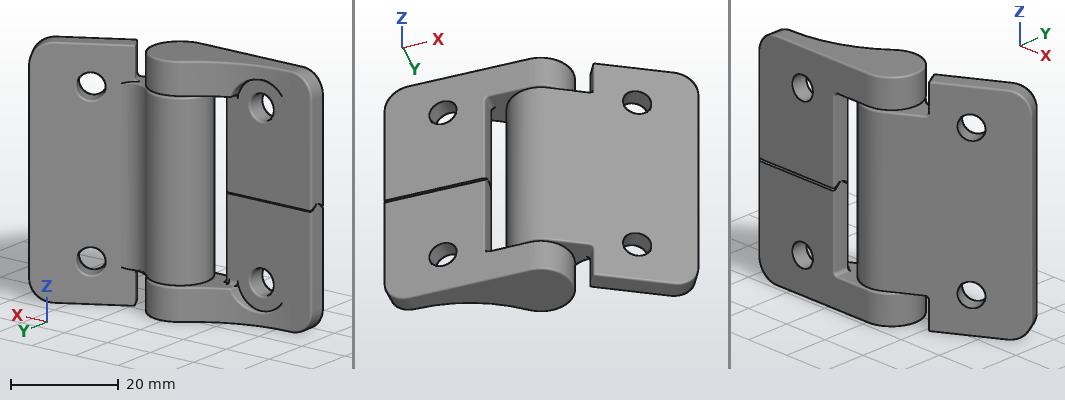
import cadquery as cq
import math

height = 50.8
leaf_length = 28.6
leaf_thickness = 3.9
barrel_diameter = 12.75
barrel_radius = barrel_diameter / 2
corner_radius = 4.75
inner_corner_radius = 0.8
edge_radius = 0.4
relief_edge = 8.75
opening_angle = 30.0
front_face = -barrel_radius
back_face = front_face + leaf_thickness
mid_plane = (front_face + back_face) / 2

hole_diameter = 5.35
hole_offset = 17.0
hole_height = 17.0
clearance_diameter = 11.05

window_height = 37.1
fixed_blend_radius = 29.7

slit_tip_height = 0.0
slit_mouth_top = -0.9
slit_web = 0.75
front_slit_mouth = 0.5
back_slit_mouth = 0.2

barrel_length = 36.55
swing_blend_radius = 5.2

overshoot = 0.55



def block(x_min, x_max, y_min, y_max, z_min, z_max):
    size = (x_max - x_min, y_max - y_min, z_max - z_min)
    return cq.Workplane("XY").box(*size, centered=False).translate((x_min, y_min, z_min))


def plate(x_min, x_max, plate_height):
    """Plain rectangle of leaf thickness, centred on mid height."""
    return block(x_min, x_max, front_face, back_face, -plate_height / 2, plate_height / 2)


def hole_cylinders(diameter):
    """Cylinders along Y through both mounting hole positions, longer than any leaf is deep."""
    back_plane = cq.Workplane("XZ", origin=(0, barrel_diameter, 0))
    centers = [(hole_offset, -hole_height), (hole_offset, hole_height)]
    return back_plane.pushPoints(centers).circle(diameter / 2).extrude(2 * barrel_diameter)


def finish_plate(leaf):
    """Round the outer corners and exposed edges of a flat leaf and drill its mounting holes."""
    leaf = leaf.edges("|Y and >X").fillet(corner_radius)
    leaf = leaf.faces("<Y or >Y").edges("not <X").fillet(edge_radius)
    leaf = leaf.cut(hole_cylinders(hole_diameter))
    return leaf.faces(">Y").edges("%CIRCLE").fillet(edge_radius)


def barrel_segment(blend_radius, bottom, top):
    """Barrel on the hinge axis with a flat front and a concave blend down to the back face."""
    blend_y = back_face + blend_radius
    blend_x = math.sqrt((barrel_radius + blend_radius) ** 2 - blend_y ** 2)
    tangent_angle = math.atan2(blend_y, blend_x)
    half_sweep = (math.pi / 2 - tangent_angle) / 2
    tangent_point = (barrel_radius * math.cos(tangent_angle), barrel_radius * math.sin(tangent_angle))
    blend_middle = (
        blend_x - blend_radius * math.sin(half_sweep),
        blend_y - blend_radius * math.cos(half_sweep),
    )
    return (
        cq.Workplane("XY", origin=(0, 0, bottom))
        .moveTo(0, front_face)
        .lineTo(blend_x, front_face)
        .lineTo(blend_x, back_face)
        .threePointArc(blend_middle, tangent_point)
        .threePointArc((-barrel_radius, 0), (0, front_face))
        .close()
        .extrude(top - bottom)
    )


def fixed_plate():
    """U-shaped flat part of the fixed leaf, with the window open towards the hinge axis."""
    window = block(
        -overshoot, relief_edge,
        front_face - overshoot, back_face + overshoot,
        -window_height / 2, window_height / 2,
    )
    window = window.edges("|Y and >X").fillet(inner_corner_radius)
    return finish_plate(plate(0, leaf_length, height).cut(window))


def knuckle_arm():
    """Upper knuckle with its arm, bitten out around the mounting hole."""
    arm = barrel_segment(fixed_blend_radius, window_height / 2, height / 2)
    arm = arm.cut(hole_cylinders(clearance_diameter))
    end_edges = arm.faces("<Z or >Z").edges("not >X")
    bite_edge = arm.edges("%BSPLINE")
    return end_edges.add(bite_edge).fillet(edge_radius)


def arm_root():
    """Concave strip between the upper arm and the back face, beside the window."""
    arm_side = window_height / 2
    strip = block(
        relief_edge + inner_corner_radius, hole_offset,
        back_face, back_face + inner_corner_radius,
        arm_side - inner_corner_radius, arm_side,
    )
    hollow = (
        cq.Workplane("YZ")
        .center(back_face + inner_corner_radius, arm_side - inner_corner_radius)
        .circle(inner_corner_radius)
        .extrude(leaf_length)
    )
    return strip.cut(hollow).cut(hole_cylinders(clearance_diameter))


def slit(face, tip, mouth):
    """Wedge along X that narrows from its mouth at a face to its tip beside the web."""
    return (
        cq.Workplane("YZ", origin=(relief_edge - overshoot, 0, 0))
        .moveTo(face, slit_mouth_top)
        .lineTo(tip, slit_tip_height)
        .lineTo(face, slit_mouth_top - mouth)
        .close()
        .extrude(leaf_length)
    )


def make_fixed_leaf():
    leaf = fixed_plate()
    upper_arm = knuckle_arm()
    upper_root = arm_root()
    for feature in (upper_arm, upper_root):
        leaf = leaf.union(feature).union(feature.mirror("XY"))
    leaf = leaf.cut(slit(front_face, mid_plane - slit_web / 2, front_slit_mouth))
    leaf = leaf.cut(slit(back_face, mid_plane + slit_web / 2, back_slit_mouth))
    return leaf.mirror("YZ")


def swing_plate():
    """T-shaped flat part of the swing leaf: a full-height wing and a tongue into the barrel."""
    wing = plate(relief_edge, leaf_length, height).edges("|Y and <X").fillet(edge_radius)
    tongue = plate(0, leaf_length / 2, barrel_length)
    leaf = wing.union(tongue)
    notch_corners = cq.selectors.BoxSelector(
        (relief_edge - overshoot, front_face, -barrel_length / 2 - overshoot),
        (relief_edge + overshoot, back_face, barrel_length / 2 + overshoot),
    )
    leaf = leaf.edges("|Y").edges(notch_corners).fillet(inner_corner_radius)
    return finish_plate(leaf)


def make_swing_leaf():
    barrel = barrel_segment(swing_blend_radius, -barrel_length / 2, barrel_length / 2)
    barrel = barrel.faces("<Z or >Z").edges("not >X").fillet(edge_radius)
    leaf = swing_plate().union(barrel)
    return leaf.rotate((0, 0, 0), (0, 0, 1), opening_angle)


fixed_leaf = make_fixed_leaf()
swing_leaf = make_swing_leaf()

result = cq.Compound.makeCompound([fixed_leaf.val(), swing_leaf.val()])